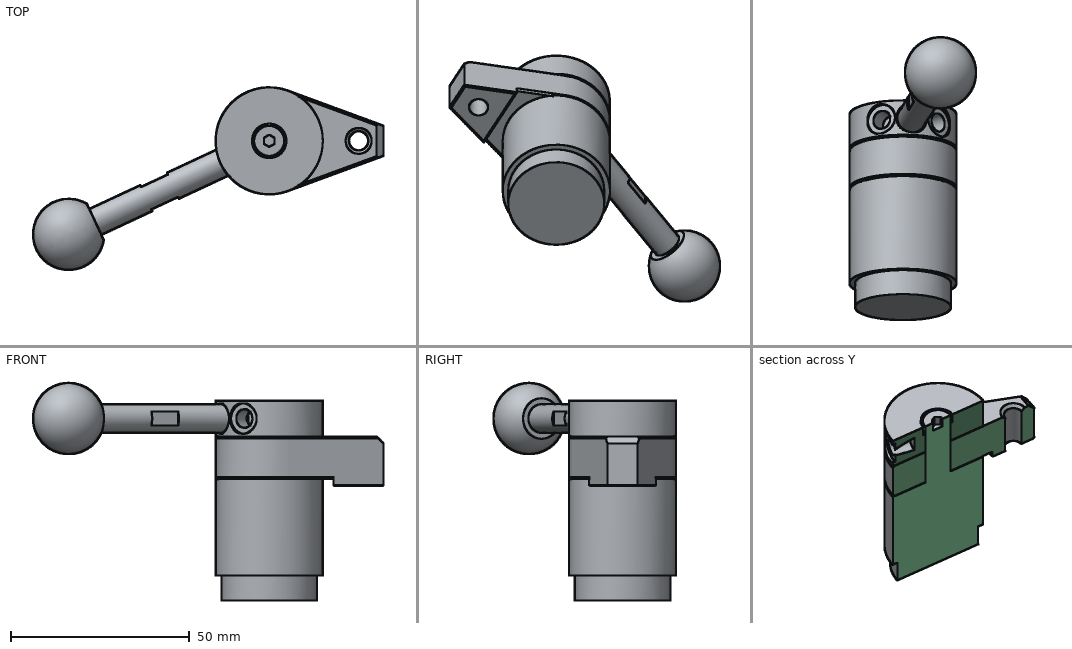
import cadquery as cq
import math

step_top = 7.0
arm_bottom = 34.0
arm_top = 45.9
cap_top = 55.9
arm_pad_drop = 2.0
lever_height = (arm_top + cap_top) / 2

body_radius = 15.0
step_radius = 13.4
spindle_radius = 4.2
socket_across_flats = 2.9
socket_depth = 2.9

arm_reach = 32.0
arm_tip_width = 8.4
arm_edge_chamfer = 0.6
arm_nose_chamfer = 2.0
arm_pad_start = 18.0
pad_edge_chamfer = 0.4
arm_hole_distance = 25.0
arm_hole_diameter = 5.3
arm_hole_mouth_diameter = 7.3

recess_radius = 4.8
recess_depth = 2.9
lever_angle = 205.0
socket_spacing_angle = 35.0
seat_distance = 13.9
seat_diameter = 8.5
thread_diameter = 5.2
thread_depth = 6.3

rod_diameter = 8.0
flat_width = 7.0
flat_length = 8.2
flat_distance = 33.9
ball_radius = 10.0
ball_distance = 61.9
ball_face_offset = 8.2
knob_thread_depth = 7.9

ball_face_distance = ball_distance - ball_face_offset


def radial_plane(angle):
    """Plane through the upright axis at lever height, its normal pointing outward at the angle."""
    outward = cq.Vector(math.cos(math.radians(angle)), math.sin(math.radians(angle)), 0)
    return cq.Plane(origin=(0, 0, lever_height), xDir=(0, 0, 1), normal=outward)


def radial_cylinder(angle, diameter, start, end):
    """Cylinder along the radial direction between two distances from the upright axis."""
    return (
        cq.Workplane(radial_plane(angle))
        .workplane(offset=start)
        .circle(diameter / 2)
        .extrude(end - start)
    )


def upright_cylinder(radius, bottom, top):
    return cq.Workplane("XY").workplane(offset=bottom).circle(radius).extrude(top - bottom)


def make_base():
    """Stepped cylinder with a central spindle that carries the arm and the cap."""
    step = upright_cylinder(step_radius, 0, step_top)
    barrel = upright_cylinder(body_radius, step_top, arm_bottom)
    spindle = upright_cylinder(spindle_radius, arm_bottom, cap_top)
    hex_socket = (
        cq.Workplane("XY")
        .workplane(offset=cap_top - socket_depth)
        .polygon(6, socket_across_flats, circumscribed=True)
        .extrude(socket_depth)
    )
    return step.union(barrel).union(spindle).cut(hex_socket)


def arm_outline(bottom):
    """Teardrop outline: a round hub whose tangents run to the narrow tip."""
    half_tip = arm_tip_width / 2
    tip_distance = math.hypot(arm_reach, half_tip)
    tangent_angle = math.atan2(half_tip, arm_reach) + math.acos(body_radius / tip_distance)
    tangent_x = body_radius * math.cos(tangent_angle)
    tangent_y = body_radius * math.sin(tangent_angle)
    return (
        cq.Workplane("XY")
        .workplane(offset=bottom)
        .moveTo(arm_reach, -half_tip)
        .lineTo(arm_reach, half_tip)
        .lineTo(tangent_x, tangent_y)
        .threePointArc((-body_radius, 0), (tangent_x, -tangent_y))
        .close()
    )


def make_arm():
    """Clamp arm with a pad under its tip, a countersunk hole and a bore for the spindle."""
    plate = arm_outline(arm_bottom).extrude(arm_top - arm_bottom)
    plate = plate.faces("<Z or >Z").edges("not >X").chamfer(arm_edge_chamfer)

    pad_bottom = arm_bottom - arm_pad_drop
    pad_length = arm_reach - arm_pad_start
    pad_height = arm_pad_drop + 2 * arm_edge_chamfer
    pad_zone = cq.Workplane("XY").box(
        pad_length, 2 * body_radius, pad_height, centered=(False, True, False)
    ).translate((arm_pad_start, 0, pad_bottom))
    pad = arm_outline(pad_bottom).extrude(pad_height).intersect(pad_zone)
    pad = pad.faces("<Z").chamfer(pad_edge_chamfer)

    arm = plate.union(pad).edges(">X and >Z").chamfer(arm_nose_chamfer)
    countersink_depth = (arm_hole_mouth_diameter - arm_hole_diameter) / 2
    bore = upright_cylinder(spindle_radius, arm_bottom, arm_top)
    hole = (
        upright_cylinder(arm_hole_diameter / 2, pad_bottom, arm_top)
        .faces(">Z")
        .workplane()
        .circle(arm_hole_mouth_diameter / 2)
        .workplane(offset=-countersink_depth)
        .circle(arm_hole_diameter / 2)
        .loft()
        .translate((arm_hole_distance, 0, 0))
    )
    return arm.cut(bore).cut(hole)


def make_cap():
    """Round cap, recessed around the spindle, with radial sockets of a flat seat and a smaller hole."""
    cap = upright_cylinder(body_radius, arm_top, cap_top)
    cap = cap.cut(upright_cylinder(spindle_radius, arm_top, cap_top))
    cap = cap.cut(upright_cylinder(recess_radius, cap_top - recess_depth, cap_top))
    for position in (-1, 0, 1):
        angle = lever_angle + position * socket_spacing_angle
        cap = cap.cut(radial_cylinder(angle, seat_diameter, seat_distance, body_radius))
        cap = cap.cut(radial_cylinder(angle, thread_diameter, seat_distance - thread_depth, seat_distance))
    return cap


def knob_thread():
    """Stud on the outer end of the lever, also the matching hole in the ball."""
    return radial_cylinder(
        lever_angle, thread_diameter, ball_face_distance, ball_face_distance + knob_thread_depth
    )


def make_lever():
    """Rod with two wrench flats and a stud at each end."""
    rod = radial_cylinder(lever_angle, rod_diameter, seat_distance, ball_face_distance)
    flat_cut_depth = (rod_diameter - flat_width) / 2
    for side in (-1, 1):
        flat_cut = (
            cq.Workplane(radial_plane(lever_angle))
            .workplane(offset=flat_distance - flat_length / 2)
            .center(0, side * (flat_width + flat_cut_depth) / 2)
            .rect(rod_diameter, flat_cut_depth)
            .extrude(flat_length)
        )
        rod = rod.cut(flat_cut)
    cap_stud = radial_cylinder(lever_angle, thread_diameter, seat_distance - thread_depth, seat_distance)
    return rod.union(cap_stud).union(knob_thread())


def make_ball():
    """Ball knob with a flat face toward the lever."""
    ball = cq.Workplane(radial_plane(lever_angle)).workplane(offset=ball_distance).sphere(ball_radius)
    face_cut = radial_cylinder(
        lever_angle, 2 * ball_radius, ball_distance - ball_radius, ball_face_distance
    )
    return ball.cut(face_cut).cut(knob_thread())


base = make_base()
arm = make_arm()
cap = make_cap()
lever = make_lever()
ball = make_ball()

result = cq.Compound.makeCompound([base.val(), arm.val(), cap.val(), lever.val(), ball.val()])